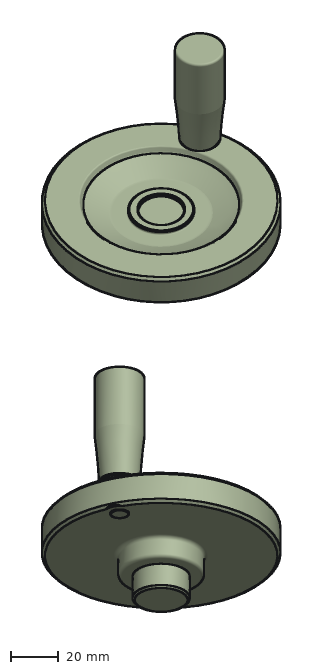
import cadquery as cq


wheel_radius = 100.0 / 2
wheel_top = 35.0
rim_bottom = 20.8
rim_chamfer = 1.3

hub_radius = 36.0 / 2
hub_bottom = 10.9
hub_edge_fillet = 1.5
hub_root_fillet = 1.8
spigot_radius = 24.0 / 2
spigot_edge_chamfer = 0.9

mouth_radius = 34.5
mouth_rounding = 1.0
lip_top_radius = 33.8
lip_top_depth = 0.6
lip_bottom_radius = 33.1
lip_bottom_depth = 2.0
bowl_top_radius = 32.7
bowl_top_depth = 2.5
bowl_bottom_radius = 21.7
floor_radius = 20.8
dish_depth = 7.1
floor_blend_rise = 0.1
bowl_sag = 0.3

ring_radius = 27.8 / 2
ring_height = 2.1
ring_edge_chamfer = 0.5
ring_root_fillet = 0.5
recess_radius = 9.6
recess_depth = 1.2
recess_chamfer = 0.4

handle_radius = 21.0 / 2
overall_length = 103.0
handle_y = overall_length - wheel_radius - handle_radius
handle_top = 85.0
handle_top_fillet = 1.0
taper_top = 57.5
taper_bottom_radius = 8.7
taper_waist = 0.2
handle_base_chamfer = 0.5

pin_radius = 7.9 / 2
pin_projection = 0.3
pin_chamfer = 0.3
pin_boss_radius = 14.0 / 2


def revolve_about_z(profile):
    """Turn a closed XZ profile, with X as the radius, about the Z axis."""
    return profile.close().revolve(360, (0, 0, 0), (0, 1, 0))


def cylinder(radius, bottom, top):
    return cq.Workplane("XY").workplane(offset=bottom).circle(radius).extrude(top - bottom)


def make_rim():
    """Solid disc with both outer edges chamfered."""
    disc = cylinder(wheel_radius, rim_bottom, wheel_top)
    return disc.edges("%CIRCLE").chamfer(rim_chamfer)


def make_hub():
    """Spigot and hub, with the hub flaring into the underside of the rim."""
    root_start = rim_bottom - hub_root_fillet
    profile = (
        cq.Workplane("XZ")
        .lineTo(spigot_radius - spigot_edge_chamfer, 0)
        .lineTo(spigot_radius, spigot_edge_chamfer)
        .lineTo(spigot_radius, hub_bottom)
        .lineTo(hub_radius - hub_edge_fillet, hub_bottom)
        .tangentArcPoint((hub_radius, hub_bottom + hub_edge_fillet), relative=False)
        .lineTo(hub_radius, root_start)
        .tangentArcPoint((hub_radius + hub_root_fillet, rim_bottom), relative=False)
        .lineTo(0, rim_bottom)
    )
    return revolve_about_z(profile)


def make_dish_cutter():
    """Round bowl removed from the top of the wheel."""
    floor = wheel_top - dish_depth
    bowl_middle_radius = (bowl_top_radius + bowl_bottom_radius) / 2
    bowl_bottom_depth = dish_depth - floor_blend_rise
    bowl_middle_depth = (bowl_top_depth + bowl_bottom_depth) / 2 + bowl_sag
    profile = (
        cq.Workplane("XZ")
        .moveTo(0, floor)
        .lineTo(floor_radius, floor)
        .tangentArcPoint((bowl_bottom_radius, wheel_top - bowl_bottom_depth), relative=False)
        .threePointArc(
            (bowl_middle_radius, wheel_top - bowl_middle_depth),
            (bowl_top_radius, wheel_top - bowl_top_depth),
        )
        .lineTo(lip_bottom_radius, wheel_top - lip_bottom_depth)
        .lineTo(lip_top_radius, wheel_top - lip_top_depth)
        .radiusArc((mouth_radius, wheel_top), mouth_rounding)
        .lineTo(0, wheel_top)
    )
    return revolve_about_z(profile)


def make_ring():
    """Raised ring on the dish floor with a shallow chamfered recess in it."""
    floor = wheel_top - dish_depth
    top = floor + ring_height
    recess_floor = top - recess_depth
    profile = (
        cq.Workplane("XZ")
        .moveTo(0, floor)
        .lineTo(ring_radius + ring_root_fillet, floor)
        .radiusArc((ring_radius, floor + ring_root_fillet), ring_root_fillet)
        .lineTo(ring_radius, top - ring_edge_chamfer)
        .lineTo(ring_radius - ring_edge_chamfer, top)
        .lineTo(recess_radius + recess_chamfer, top)
        .lineTo(recess_radius, top - recess_chamfer)
        .lineTo(recess_radius, recess_floor)
        .lineTo(0, recess_floor)
    )
    return revolve_about_z(profile)


def make_wheel():
    pin_boss = cylinder(pin_boss_radius, rim_bottom, rim_bottom + rim_chamfer)
    pin_hole = cylinder(pin_radius, rim_bottom, wheel_top)
    wheel = make_rim().union(make_hub()).cut(make_dish_cutter()).union(make_ring())
    wheel = wheel.union(pin_boss.translate((0, handle_y, 0)))
    return wheel.cut(pin_hole.translate((0, handle_y, 0)))


def make_handle():
    """Tapered grip and its pin, turned as one piece."""
    pin_bottom = rim_bottom - pin_projection
    taper_bottom = wheel_top + handle_base_chamfer
    waist_radius = (handle_radius + taper_bottom_radius) / 2 - taper_waist
    profile = (
        cq.Workplane("XZ")
        .moveTo(0, pin_bottom)
        .lineTo(pin_radius - pin_chamfer, pin_bottom)
        .lineTo(pin_radius, pin_bottom + pin_chamfer)
        .lineTo(pin_radius, wheel_top)
        .lineTo(taper_bottom_radius - handle_base_chamfer, wheel_top)
        .lineTo(taper_bottom_radius, taper_bottom)
        .threePointArc((waist_radius, (taper_bottom + taper_top) / 2), (handle_radius, taper_top))
        .lineTo(handle_radius, handle_top - handle_top_fillet)
        .radiusArc((handle_radius - handle_top_fillet, handle_top), -handle_top_fillet)
        .lineTo(0, handle_top)
    )
    return revolve_about_z(profile).translate((0, handle_y, 0))


wheel = make_wheel()
handle = make_handle()

result = cq.Compound.makeCompound([wheel.val(), handle.val()])